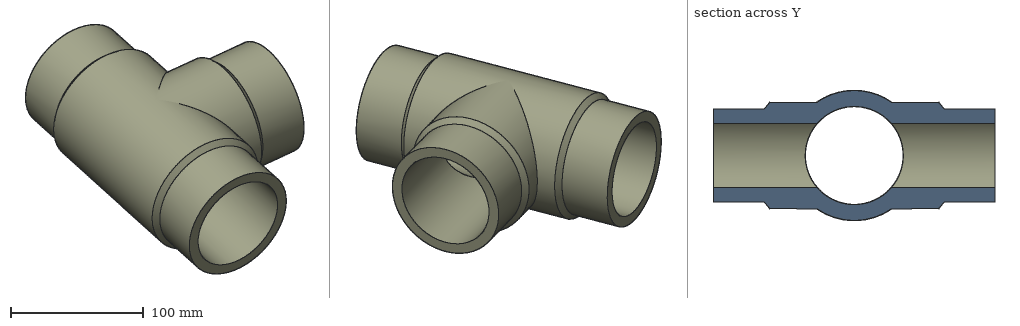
import cadquery as cq

run_length = 212.0
overall_depth = 154.1
body_diameter = 98.2
spigot_diameter = 89.9
bore_diameter = 73.5
spigot_length = 38.2

body_radius = body_diameter / 2
shoulder_chamfer = (body_diameter - spigot_diameter) / 2
half_run = run_length / 2
branch_length = overall_depth - body_radius


def arm_plane(direction):
    """Plane at the tee centre whose normal points along an arm."""
    return cq.Plane(origin=(0, 0, 0), xDir=(0, 0, 1), normal=direction)


def arm_outside(direction, length):
    """Thick body with a chamfered shoulder, followed by a thinner spigot."""
    plane = arm_plane(direction)
    body = (
        cq.Workplane(plane)
        .circle(body_radius)
        .extrude(length - spigot_length)
        .faces(cq.selectors.DirectionMinMaxSelector(cq.Vector(*direction), True))
        .chamfer(shoulder_chamfer)
    )
    spigot = cq.Workplane(plane).circle(spigot_diameter / 2).extrude(length)
    return body.union(spigot)


def arm_bore(direction, length):
    """Round passage from the tee centre to the open end of an arm."""
    return cq.Workplane(arm_plane(direction)).circle(bore_diameter / 2).extrude(length)


arms = [
    ((-1, 0, 0), half_run),
    ((1, 0, 0), half_run),
    ((0, 1, 0), branch_length),
]

result = cq.Workplane("XY")
for direction, length in arms:
    result = result.union(arm_outside(direction, length))

for direction, length in arms:
    result = result.cut(arm_bore(direction, length))